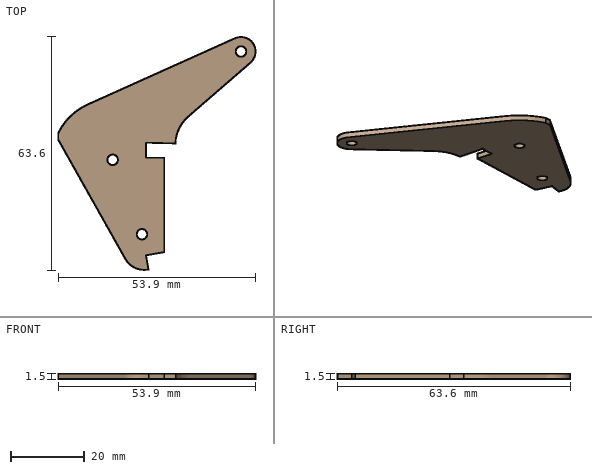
import cadquery as cq
import math

thickness = 1.5

hole_diameter = 2.8
lower_hole = (0, 0)
middle_hole = (-8, 20.3)
tip_hole = (27, 49.83)

tip_radius = 4.0
shoulder_center = (-8.1, 20.45)
shoulder_radius = 16.4
heel_center = (0.65, -3.76)
heel_radius = 6.0
hollow_center = (19.15, 24.49)
hollow_radius = 10.0

overall_length_x = 53.85
flat_x = tip_hole[0] + tip_radius - overall_length_x
flat_bottom_y = 25.75

right_edge_x = 6.1
slot_inner_x = 1.13
slot_bottom_y = 20.9
slot_top_y = 24.93
slot_mouth_y = 24.73
notch_tilt = math.radians(10)
notch_corner_y = -4.9
notch_length = 5.05


def tangent(center_a, offset_a, center_b, offset_b):
    """Touch points of the line from circle a to circle b.

    An offset is the circle's radius, positive when the line passes on the left
    of its centre and negative when it passes on the right. Zero means a point.
    """
    dx = center_b[0] - center_a[0]
    dy = center_b[1] - center_a[1]
    heading = math.atan2(dy, dx) + math.asin((offset_b - offset_a) / math.hypot(dx, dy))
    normal = (-math.sin(heading), math.cos(heading))
    touch_a = (center_a[0] + offset_a * normal[0], center_a[1] + offset_a * normal[1])
    touch_b = (center_b[0] + offset_b * normal[0], center_b[1] + offset_b * normal[1])
    return touch_a, touch_b


def arc_middle(center, radius, start, end):
    """Midpoint of the shorter arc between two points on a circle."""
    toward_x = (start[0] + end[0]) / 2 - center[0]
    toward_y = (start[1] + end[1]) / 2 - center[1]
    stretch = radius / math.hypot(toward_x, toward_y)
    return (center[0] + stretch * toward_x, center[1] + stretch * toward_y)


def make_plate():
    """Plate outline, drawn clockwise from the top of the left flat."""
    shoulder_reach = shoulder_center[0] - flat_x
    flat_top = (flat_x, shoulder_center[1] + math.sqrt(shoulder_radius**2 - shoulder_reach**2))
    flat_bottom = (flat_x, flat_bottom_y)

    shoulder_end, tip_start = tangent(shoulder_center, shoulder_radius, tip_hole, tip_radius)
    tip_end, hollow_start = tangent(tip_hole, tip_radius, hollow_center, -hollow_radius)
    heel_end, _ = tangent(heel_center, heel_radius, flat_bottom, 0)

    mouth_rise = slot_mouth_y - hollow_center[1]
    hollow_end = (hollow_center[0] - math.sqrt(hollow_radius**2 - mouth_rise**2), slot_mouth_y)

    notch_outer = (right_edge_x, notch_corner_y)
    notch_inner = (
        right_edge_x - notch_length * math.cos(notch_tilt),
        notch_corner_y - notch_length * math.sin(notch_tilt),
    )

    wall = (math.sin(notch_tilt), -math.cos(notch_tilt))
    from_heel = (notch_inner[0] - heel_center[0], notch_inner[1] - heel_center[1])
    along = from_heel[0] * wall[0] + from_heel[1] * wall[1]
    gap_squared = from_heel[0] ** 2 + from_heel[1] ** 2 - heel_radius**2
    wall_length = -along + math.sqrt(along**2 - gap_squared)
    heel_start = (notch_inner[0] + wall_length * wall[0], notch_inner[1] + wall_length * wall[1])

    return (
        cq.Workplane("XY")
        .moveTo(*flat_top)
        .threePointArc(arc_middle(shoulder_center, shoulder_radius, flat_top, shoulder_end), shoulder_end)
        .lineTo(*tip_start)
        .threePointArc(arc_middle(tip_hole, tip_radius, tip_start, tip_end), tip_end)
        .lineTo(*hollow_start)
        .threePointArc(arc_middle(hollow_center, hollow_radius, hollow_start, hollow_end), hollow_end)
        .lineTo(slot_inner_x, slot_top_y)
        .lineTo(slot_inner_x, slot_bottom_y)
        .lineTo(right_edge_x, slot_bottom_y)
        .lineTo(*notch_outer)
        .lineTo(*notch_inner)
        .lineTo(*heel_start)
        .threePointArc(arc_middle(heel_center, heel_radius, heel_start, heel_end), heel_end)
        .lineTo(*flat_bottom)
        .close()
        .extrude(thickness)
    )


def drill_holes(plate):
    """Three equal holes straight through the plate."""
    holes = (
        cq.Workplane("XY")
        .pushPoints([lower_hole, middle_hole, tip_hole])
        .circle(hole_diameter / 2)
        .extrude(thickness)
    )
    return plate.cut(holes)


result = drill_holes(make_plate())